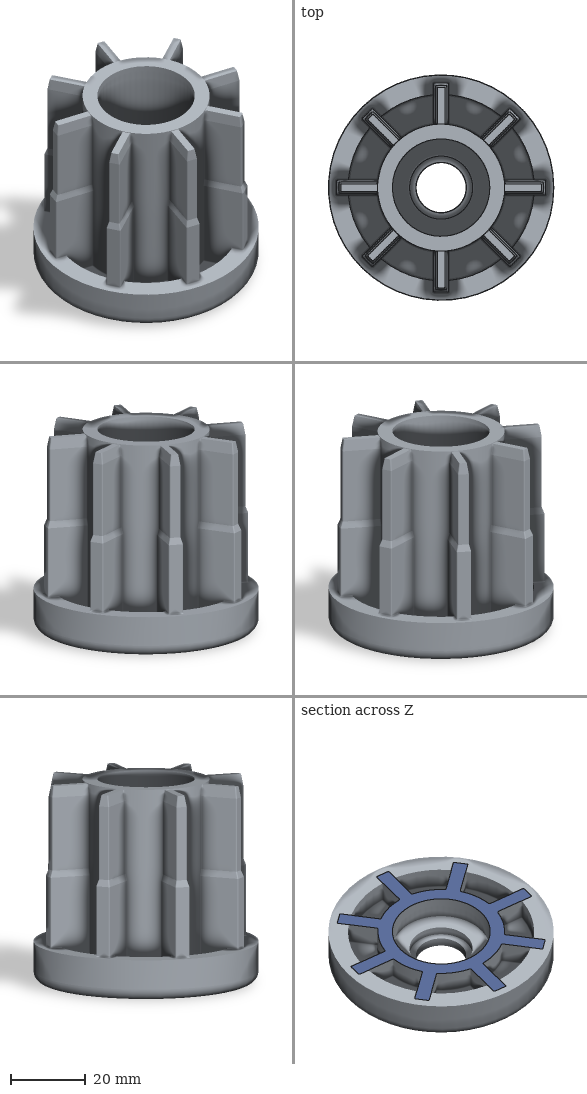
import cadquery as cq
import math

flange_radius = 30.15
flange_height = 11.0
flange_bottom_round = 3.0
pocket_radius = 24.9
pocket_depth = 6.0

total_height = 55.0
tube_radius = 17.0
bore_radius = 13.0
counterbore_radius = 8.45
counterbore_depth = 2.4
hole_radius = 6.7

rib_count = 8
rib_drop_below_tube = 0.2
lower_rib_reach = 28.0
lower_rib_width = 4.0
step_bottom = 30.15
step_height = 1.8
step_end_inset = 0.65
step_side_inset = 0.5
tip_height = 3.0
tip_end_inset = 0.5
tip_side_inset = 0.5
rib_edge_round = 0.3

root_round = 0.3

pocket_floor = flange_height - pocket_depth
bore_floor = pocket_floor
rib_top = total_height - rib_drop_below_tube
rib_start = (bore_radius + tube_radius) / 2
upper_rib_reach = lower_rib_reach - step_end_inset
upper_rib_width = lower_rib_width - 2 * step_side_inset
tip_reach = upper_rib_reach - tip_end_inset
tip_width = upper_rib_width - 2 * tip_side_inset

tolerance = 0.03


def cylinder(radius, bottom, top):
    return cq.Workplane("XY").workplane(offset=bottom).circle(radius).extrude(top - bottom)


def make_flange():
    flange = cylinder(flange_radius, 0, flange_height)
    flange = flange.faces("<Z").edges().fillet(flange_bottom_round)
    return flange.cut(cylinder(pocket_radius, pocket_floor, flange_height))


def rib_section(reach, width, height):
    """Horizontal section of the rib along +X, with its two outer corners rounded."""
    half = width / 2
    arc_start = rib_edge_round
    arc_middle = rib_edge_round * (1 - math.sqrt(0.5))
    return (
        cq.Workplane("XY")
        .workplane(offset=height)
        .moveTo(rib_start, -half)
        .lineTo(reach - arc_start, -half)
        .threePointArc((reach - arc_middle, arc_middle - half), (reach, arc_start - half))
        .lineTo(reach, half - arc_start)
        .threePointArc((reach - arc_middle, half - arc_middle), (reach - arc_start, half))
        .lineTo(rib_start, half)
        .close()
        .val()
    )


def make_rib():
    """Straight lower stage, sloped step, straight upper stage and tapered tip."""
    sections = [
        rib_section(lower_rib_reach, lower_rib_width, pocket_floor),
        rib_section(lower_rib_reach, lower_rib_width, step_bottom),
        rib_section(upper_rib_reach, upper_rib_width, step_bottom + step_height),
        rib_section(upper_rib_reach, upper_rib_width, rib_top - tip_height),
        rib_section(tip_reach, tip_width, rib_top),
    ]
    return cq.Workplane(cq.Solid.makeLoft(sections, ruled=True))


def is_root_edge(edge):
    """True for the inside corners between ribs, tube, pocket and flange."""
    middle = edge.positionAt(0.5)
    radius = math.hypot(middle.x, middle.y)
    if abs(middle.z - pocket_floor) < tolerance:
        return True
    if abs(middle.z - flange_height) < tolerance:
        return pocket_radius + tolerance < radius < lower_rib_reach + tolerance
    on_tube = abs(radius - tube_radius) < tolerance
    on_pocket_wall = abs(radius - pocket_radius) < tolerance
    below_rib_top = pocket_floor < middle.z < rib_top - tolerance
    return below_rib_top and (on_tube or on_pocket_wall)


body = make_flange().union(cylinder(tube_radius, pocket_floor, total_height))
rib = make_rib()
for index in range(rib_count):
    angle = index * 360 / rib_count
    body = body.union(rib.rotate((0, 0, 0), (0, 0, 1), angle))

root_edges = [edge for edge in body.edges().vals() if is_root_edge(edge)]
body = body.newObject(root_edges).fillet(root_round)

body = body.cut(cylinder(bore_radius, bore_floor, total_height))
body = body.cut(cylinder(counterbore_radius, bore_floor - counterbore_depth, bore_floor))
result = body.cut(cylinder(hole_radius, 0, bore_floor))